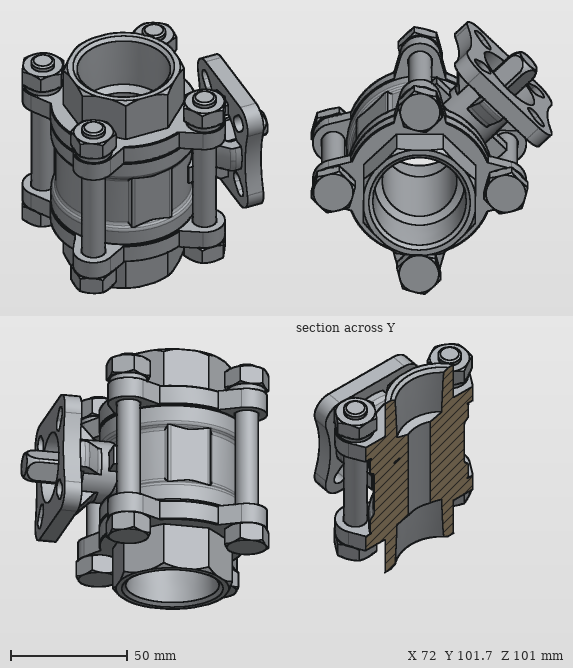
import cadquery as cq
import math

BOLT_OFFSET = 26.18
BOLT_DIA = 10.0
BOLT_HOLE_DIA = 10.5
BOLT_TOP = 43.9
BOLT_CHAMFER_RADIAL = 1.0
BOLT_CHAMFER_AXIAL = 0.7

NUT_FLATS = 17.0
NUT_HEIGHT = 8.1
WASHER_DIA = 16.0
WASHER_HEIGHT = 2.5
HEX_CHAMFER_ANGLE = 30

FLANGE_INNER = 22.22
FLANGE_THICK = 8.6
FLANGE_OUTER = FLANGE_INNER + FLANGE_THICK
FLANGE_DISC_DIA = 63.0
FLANGE_EDGE_CHAMFER = 0.4
EAR_RADIUS = 8.8
EAR_FLANK_ANGLE = 30
EAR_FLANK_LENGTH = 12.2

END_FLATS = 48.0
END_FACE = 50.48
END_FACE_DIA = 48.5
END_CHAMFER_ANGLE = 45
BORE_DIA = 32.0
THREAD_MOUTH_DIA = 43.5
THREAD_OUTER_DIA = 40.1
THREAD_INNER_DIA = 38.7
THREAD_MOUTH_DEPTH = 1.4
THREAD_DEPTH = 24.2
THREAD_CONE_ANGLE = 30

BODY_DIA = 62.5
BODY_END_CHAMFER = 0.7
WAIST_DIA = 58.6
WAIST_HALF_HEIGHT = 11.9
WAIST_FILLET = 2.0

PAD_DIA = 61.0
PAD_FLAT_OFFSET = 29.4
PAD_TOP_HALF_WIDTH = 9.5
PAD_ROOT_HALF_WIDTH = 11.1
PAD_ROOT_FILLET = 2.0

BRIDGE_WIDTH = 42.7
BRIDGE_HEIGHT = 8.3
BRIDGE_TOP = 31.4
BRIDGE_BOTTOM = 20.9

NECK_DIA = 26.6
NECK_BASE = BRIDGE_BOTTOM
ARM_ROOT = 34.7
NECK_TOP = 42.5
YOKE_DIA = 40.2
YOKE_INNER_DIA = 30.5
YOKE_INNER_FILLET = 1.7
YOKE_OUTER_FILLET = 3.0
ARM_WIDTH = 11.9

PLATE_BOTTOM = 46.7
PLATE_TOP = 54.2
PLATE_HALF_X = 25.9
PLATE_HALF_Z = 26.2
PLATE_CORNER_RADIUS = 8.0
PLATE_SIDE_START = 15.9
SLOT_INNER_RADIUS = 21.0
SLOT_OUTER_RADIUS = 25.0
SLOT_WIDTH = 6.9

STEM_DIA = 14.0
STEM_FLATS = 11.0
STEM_TIP = 65.7
STEM_TIP_DIA = 10.2

CORNERS = [(-1, -1), (-1, 1), (1, -1), (1, 1)]


def disc_z(diameter, bottom, top):
    """Cylinder along Z."""
    return cq.Workplane("XY").workplane(offset=bottom).circle(diameter / 2).extrude(top - bottom)


def disc_y(diameter, bottom, top):
    """Cylinder along Y."""
    return cq.Workplane("XZ", origin=(0, bottom, 0)).circle(diameter / 2).extrude(bottom - top)


def block(x_size, y_range, z_size):
    """Box centred on X and Z, spanning y_range."""
    length = y_range[1] - y_range[0]
    middle = (y_range[0] + y_range[1]) / 2
    return cq.Workplane("XY").box(x_size, length, z_size).translate((0, middle, 0))


def across_corners(flats, sides):
    return flats / math.cos(math.pi / sides)


def centre_body():
    """Turned body with a waist, two side pads and the bridge below the stem."""
    outer = BODY_DIA / 2
    waist = WAIST_DIA / 2
    shoulder = WAIST_HALF_HEIGHT + outer - waist
    half_profile = [
        (outer, shoulder),
        (outer, FLANGE_INNER - BODY_END_CHAMFER),
        (outer - BODY_END_CHAMFER, FLANGE_INNER),
        (0, FLANGE_INNER),
    ]
    lower_half = [(r, -z) for r, z in reversed(half_profile)]
    profile = lower_half + [(waist, -WAIST_HALF_HEIGHT), (waist, WAIST_HALF_HEIGHT)] + half_profile
    body = cq.Workplane("XZ").polyline(profile).close().revolve(360, (0, 0), (0, 1))
    body = body.rotate((0, 0, 0), (0, 0, 1), -90)

    reach = FLANGE_INNER - 2 * BODY_END_CHAMFER
    waist_zone = cq.selectors.BoxSelector((-outer, -outer, -reach), (outer, outer, reach))
    body = body.edges("%CIRCLE").edges(waist_zone).fillet(WAIST_FILLET)

    pad = side_pad(shoulder)
    bridge = block(BRIDGE_WIDTH, (BRIDGE_BOTTOM, BRIDGE_TOP), BRIDGE_HEIGHT)
    return body.union(pad).union(pad.mirror("YZ")).union(bridge)


def side_pad(half_height):
    """Pad on the +X side: a flat face, round shoulders and filleted flanks."""
    pad_radius = PAD_DIA / 2
    flat_half = math.sqrt(pad_radius ** 2 - PAD_FLAT_OFFSET ** 2)
    top_x = math.sqrt(pad_radius ** 2 - PAD_TOP_HALF_WIDTH ** 2)
    root_x = math.sqrt((WAIST_DIA / 2) ** 2 - PAD_ROOT_HALF_WIDTH ** 2)
    return (
        cq.Workplane("XY")
        .workplane(offset=-half_height)
        .moveTo(BORE_DIA / 2, 0)
        .lineTo(root_x, -PAD_ROOT_HALF_WIDTH)
        .radiusArc((top_x, -PAD_TOP_HALF_WIDTH), PAD_ROOT_FILLET)
        .radiusArc((PAD_FLAT_OFFSET, -flat_half), -pad_radius)
        .lineTo(PAD_FLAT_OFFSET, flat_half)
        .radiusArc((top_x, PAD_TOP_HALF_WIDTH), -pad_radius)
        .radiusArc((root_x, PAD_ROOT_HALF_WIDTH), PAD_ROOT_FILLET)
        .close()
        .extrude(2 * half_height)
    )


def flange_ear():
    """Ear of the (+X, +Y) bolt, its flanks running into the flange disc."""
    angle = math.radians(EAR_FLANK_ANGLE)
    tangent_x = BOLT_OFFSET - EAR_RADIUS * math.sin(angle)
    tangent_y = BOLT_OFFSET + EAR_RADIUS * math.cos(angle)
    inner_x = tangent_x - EAR_FLANK_LENGTH * math.cos(angle)
    inner_y = tangent_y - EAR_FLANK_LENGTH * math.sin(angle)
    tip = BOLT_OFFSET + EAR_RADIUS * math.sqrt(0.5)
    return (
        cq.Workplane("XY")
        .workplane(offset=FLANGE_INNER)
        .moveTo(0, 0)
        .lineTo(inner_x, inner_y)
        .lineTo(tangent_x, tangent_y)
        .threePointArc((tip, tip), (tangent_y, tangent_x))
        .lineTo(inner_y, inner_x)
        .close()
        .extrude(FLANGE_THICK)
    )


def end_cap():
    """Upper cap: eared flange with an octagonal threaded end."""
    cap = disc_z(FLANGE_DISC_DIA, FLANGE_INNER, FLANGE_OUTER).edges().chamfer(FLANGE_EDGE_CHAMFER)
    ear = flange_ear()
    for quarter in range(4):
        cap = cap.union(ear.rotate((0, 0, 0), (0, 0, 1), 90 * quarter))
    cap = cap.union(octagon_end())
    holes = (
        cq.Workplane("XY")
        .workplane(offset=FLANGE_INNER)
        .rect(2 * BOLT_OFFSET, 2 * BOLT_OFFSET, forConstruction=True)
        .vertices()
        .circle(BOLT_HOLE_DIA / 2)
        .extrude(FLANGE_THICK)
    )
    return cap.cut(holes).cut(thread_bore())


def octagon_end():
    length = END_FACE - FLANGE_INNER
    octagon = (
        cq.Workplane("XY")
        .workplane(offset=FLANGE_INNER)
        .polygon(8, across_corners(END_FLATS, 8))
        .extrude(length)
        .rotate((0, 0, 0), (0, 0, 1), 180 / 8)
    )
    spread = length / math.tan(math.radians(END_CHAMFER_ANGLE))
    envelope = (
        cq.Workplane("XZ")
        .polyline([
            (0, FLANGE_INNER),
            (END_FACE_DIA / 2 + spread, FLANGE_INNER),
            (END_FACE_DIA / 2, END_FACE),
            (0, END_FACE),
        ])
        .close()
        .revolve(360, (0, 0), (0, 1))
    )
    return octagon.intersect(envelope)


def thread_bore():
    """Chamfered mouth, slightly tapered thread and a cone down to the bore."""
    thread_end = END_FACE - THREAD_DEPTH
    cone_width = (THREAD_INNER_DIA - BORE_DIA) / 2
    cone_end = thread_end - cone_width * math.tan(math.radians(THREAD_CONE_ANGLE))
    return (
        cq.Workplane("XZ")
        .polyline([
            (0, cone_end),
            (BORE_DIA / 2, cone_end),
            (THREAD_INNER_DIA / 2, thread_end),
            (THREAD_OUTER_DIA / 2, END_FACE - THREAD_MOUTH_DEPTH),
            (THREAD_MOUTH_DIA / 2, END_FACE),
            (0, END_FACE),
        ])
        .close()
        .revolve(360, (0, 0), (0, 1))
    )


def hex_nut(bottom, turn):
    """Hexagon chamfered at both ends; turn is the angle of one corner from +X."""
    corners_dia = across_corners(NUT_FLATS, 6)
    rim = (corners_dia - NUT_FLATS) / 2
    drop = rim * math.tan(math.radians(HEX_CHAMFER_ANGLE))
    hexagon = (
        cq.Workplane("XY")
        .workplane(offset=bottom)
        .polygon(6, corners_dia)
        .extrude(NUT_HEIGHT)
        .rotate((0, 0, 0), (0, 0, 1), turn)
    )
    envelope = disc_z(corners_dia, bottom, bottom + NUT_HEIGHT).faces("<Z or >Z").edges().chamfer(drop, rim)
    return hexagon.intersect(envelope)


def bolt_set(turn):
    """Bolt on the Z axis with its lower head, upper washer and upper nut."""
    nut_bottom = FLANGE_OUTER + WASHER_HEIGHT
    shank = disc_z(BOLT_DIA, -FLANGE_OUTER, BOLT_TOP)
    shank = shank.faces(">Z").edges().chamfer(BOLT_CHAMFER_AXIAL, BOLT_CHAMFER_RADIAL)
    washer = disc_z(WASHER_DIA, FLANGE_OUTER, nut_bottom)
    head = hex_nut(-FLANGE_OUTER - NUT_HEIGHT, turn)
    return shank.union(washer).union(hex_nut(nut_bottom, turn)).union(head)


def yoke():
    """Neck and four arms carrying the mounting plate."""
    cone_bottom = NECK_TOP - (YOKE_DIA - NECK_DIA) / 2
    shell = (
        cq.Workplane("XY")
        .polyline([
            (0, NECK_BASE),
            (NECK_DIA / 2, NECK_BASE),
            (NECK_DIA / 2, cone_bottom),
            (YOKE_DIA / 2, NECK_TOP),
            (YOKE_DIA / 2, PLATE_BOTTOM),
            (0, PLATE_BOTTOM),
        ])
        .close()
        .revolve(360, (0, 0), (0, 1))
    )
    half = YOKE_DIA / 2
    zone_bottom = (NECK_BASE + cone_bottom) / 2
    zone_top = (NECK_TOP + PLATE_BOTTOM) / 2
    cone_zone = cq.selectors.BoxSelector((-half, zone_bottom, -half), (half, zone_top, half))
    shell = shell.edges("%CIRCLE").edges(cone_zone).fillet(YOKE_OUTER_FILLET)

    arm_range = (ARM_ROOT, PLATE_BOTTOM)
    cross = block(YOKE_DIA, arm_range, ARM_WIDTH).union(block(ARM_WIDTH, arm_range, YOKE_DIA))
    hollow = disc_y(YOKE_INNER_DIA, NECK_TOP, PLATE_TOP).faces("<Y").edges().fillet(YOKE_INNER_FILLET)
    neck = disc_y(NECK_DIA, NECK_BASE, NECK_TOP)
    return shell.intersect(cross).union(mounting_plate()).cut(hollow).union(neck)


def mounting_plate():
    """Plate with rounded corners, concave sides and four diagonal slots."""
    centre_x = PLATE_HALF_X - PLATE_CORNER_RADIUS
    centre_z = PLATE_HALF_Z - PLATE_CORNER_RADIUS
    diagonal = PLATE_CORNER_RADIUS * math.sqrt(0.5)
    tangent_angle = math.asin((centre_z - PLATE_SIDE_START) / PLATE_CORNER_RADIUS)
    side_x = centre_x + PLATE_CORNER_RADIUS * math.cos(tangent_angle)
    waist_x = side_x - PLATE_SIDE_START * math.tan(tangent_angle / 2)
    mid_x = centre_x + diagonal
    mid_z = centre_z + diagonal
    plate = (
        cq.Workplane("XZ", origin=(0, PLATE_BOTTOM, 0))
        .moveTo(-centre_x, PLATE_HALF_Z)
        .lineTo(centre_x, PLATE_HALF_Z)
        .threePointArc((mid_x, mid_z), (side_x, PLATE_SIDE_START))
        .threePointArc((waist_x, 0), (side_x, -PLATE_SIDE_START))
        .threePointArc((mid_x, -mid_z), (centre_x, -PLATE_HALF_Z))
        .lineTo(-centre_x, -PLATE_HALF_Z)
        .threePointArc((-mid_x, -mid_z), (-side_x, -PLATE_SIDE_START))
        .threePointArc((-waist_x, 0), (-side_x, PLATE_SIDE_START))
        .threePointArc((-mid_x, mid_z), (-centre_x, PLATE_HALF_Z))
        .close()
        .extrude(PLATE_BOTTOM - PLATE_TOP)
    )
    slots = (
        cq.Workplane("XZ", origin=(0, PLATE_BOTTOM, 0))
        .polarArray((SLOT_INNER_RADIUS + SLOT_OUTER_RADIUS) / 2, 45, 360, 4)
        .slot2D(SLOT_OUTER_RADIUS - SLOT_INNER_RADIUS + SLOT_WIDTH, SLOT_WIDTH)
        .extrude(PLATE_BOTTOM - PLATE_TOP)
    )
    return plate.cut(slots)


def stem():
    """Square stem turned on its corners, with rounded corners and a ball tip."""
    square = block(STEM_FLATS, (NECK_TOP, STEM_TIP), STEM_FLATS).rotate((0, 0, 0), (0, 1, 0), 45)
    radius = STEM_DIA / 2
    ball_centre = STEM_TIP - math.sqrt(radius ** 2 - (STEM_TIP_DIA / 2) ** 2)
    ball = cq.Workplane("XY").sphere(radius).translate((0, ball_centre, 0))
    envelope = disc_y(STEM_DIA, NECK_TOP, ball_centre).union(ball)
    return square.intersect(envelope)


cap = end_cap()
result = centre_body().union(yoke()).union(stem())
result = result.cut(disc_z(BORE_DIA, -END_FACE, END_FACE))
result = result.union(cap.cut(disc_z(BORE_DIA, 0, END_FACE)))
result = result.union(cap.mirror("XY").cut(disc_z(BORE_DIA, -END_FACE, 0)))
for side_x, side_y in CORNERS:
    corner_angle = 90 if side_x == side_y else 0
    bolt = bolt_set(corner_angle).translate((side_x * BOLT_OFFSET, side_y * BOLT_OFFSET, 0))
    result = result.union(bolt)